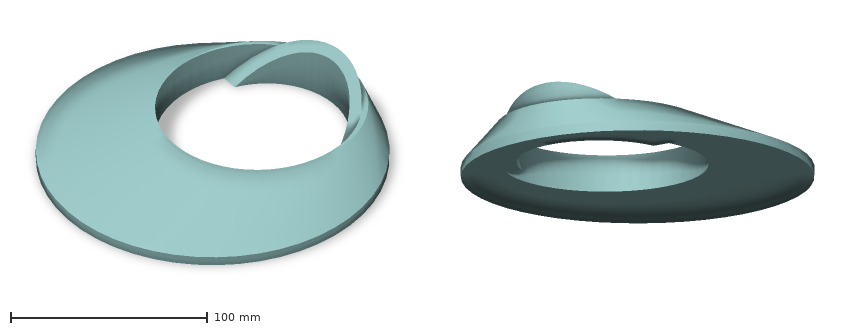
import cadquery as cq

base_radius = 90.0
rim_height = 5.0
body_height = 19.6
top_radius = 53.3
top_center_y = 32.4

bore_radius = 52.5
bore_center_y = 29.0

lip_height = 31.3
lip_inner_radius = 42.1
lip_inner_center_y = 34.4
lip_front_y = 44.5
lip_back_y = bore_center_y + bore_radius


def cylinder(radius, center_y, height):
    """Upright cylinder standing on the bottom plane."""
    return cq.Workplane("XY").center(0, center_y).circle(radius).extrude(height)


def make_body():
    """Disk with a vertical rim, lofted up to the smaller off-center top circle."""
    rim = cylinder(base_radius, 0, rim_height)
    slope = (
        cq.Workplane("XY", origin=(0, 0, rim_height))
        .circle(base_radius)
        .workplane(offset=body_height - rim_height)
        .center(0, top_center_y)
        .circle(top_radius)
        .loft(ruled=True)
    )
    return rim.union(slope)


def make_lip():
    """Crescent wall whose top slopes from the bottom plane up to its rear peak."""
    crescent = cylinder(bore_radius, bore_center_y, lip_height).cut(
        cylinder(lip_inner_radius, lip_inner_center_y, lip_height)
    )
    wedge = (
        cq.Workplane("YZ")
        .polyline([(lip_front_y, 0), (lip_back_y, 0), (lip_back_y, lip_height)])
        .close()
        .extrude(bore_radius, both=True)
    )
    return crescent.intersect(wedge)


bore = cylinder(bore_radius, bore_center_y, body_height)
result = make_body().cut(bore).union(make_lip())